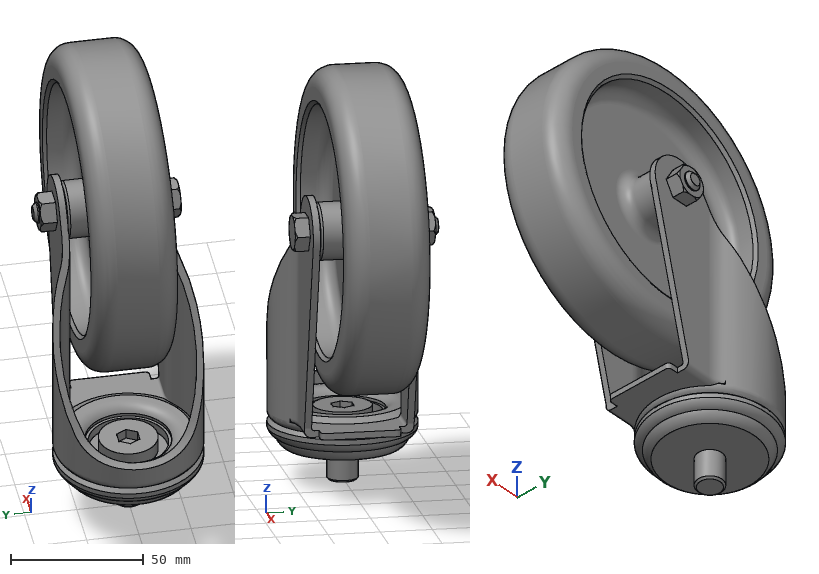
import cadquery as cq
import math

WHEEL_D = 125.0
WHEEL_OFFSET = 40.0
OVERALL_HEIGHT = 170.8
AXLE_Z = OVERALL_HEIGHT - WHEEL_D / 2
WHEEL_HALF_WIDTH = 16.0
TREAD_ROUND = 8.0
RIM_D = 96.0
RIM_CHAMFER = 1.4
DISC_HALF = 3.0
RIM_ROUND = 5.3
HUB_D = 22.0
HUB_ROUND = 4.6
HUB_HALF = 17.5
HUB_CHAMFER = 0.9
HUB_BOSS_D = 15.0

AXLE_D = 8.0
HEX_FLATS = 13.0
HEX_CORNERS = HEX_FLATS / math.cos(math.pi / 6)
HEX_CHAMFER = 0.9
HEAD_HEIGHT = 5.6
NUT_HEIGHT = 6.1
AXLE_TIP = 1.9
TIP_CHAMFER = 1.4

FORK_R = 57.0 / 2
SHEET = 2.7
PLATE_Y = 21.0
PLATE_START_X = 23.2
TAB_R = 13.7
FLOOR_BOTTOM = 26.5
FLOOR_TOP = 29.0
BEND_R = 2.5
FLOOR_ROUND = 1.2
PLATE_FOOT_X = 35.0
PLATE_FOOT_Z = 29.9
FRONT_RIM_Z = 34.0
MOUTH_ARC_X = -16.2
MOUTH_ARC_Z = 44.2
TAIL_END_X = 39.8
TAIL_HALF_WIDTH = 15.4
TAIL_CORNER_R = 1.7

CAP_BOTTOM = 13.3
CAP_BOTTOM_R = 22.2
CAP_STEP_Z = 17.5
CAP_STEP_R = 25.5
CAP_BAND_BOTTOM = 20.8
CAP_BAND_TOP = 22.9
CAP_BULGE = 0.5
GROOVE_Z = 24.5
GROOVE_R = 26.8
RACE_TOP = 27.7
RING_TOP = 30.7
RING_R = 49.0 / 2
RING_FOOT_R = 28.0
DISH_R = 21.4
DISH_BORE_R = 16.4
DISH_DEPTH = 2.7
DISH_BULGE = 0.7
LEDGE_R = 15.2
LEDGE_Z = 26.8
RECESS_BOTTOM = 23.2
KINGPIN_R = 11.3
KINGPIN_TOP = 29.0
SOCKET_FLATS = 8.0
SOCKET_DEPTH = 4.0
STEM_D = 12.0
STEM_CHAMFER = 0.9

PLATE_INNER_Y = PLATE_Y - SHEET


def revolve_about_axle(profile):
    """Revolve a closed (radius, Y) profile about the wheel axle."""
    solid = profile.close().revolve(360, (0, 0, 0), (0, 1, 0))
    return solid.translate((WHEEL_OFFSET, 0, AXLE_Z))


def axle_cylinder(diameter, y_start, y_end):
    """Cylinder on the wheel axle between two Y positions."""
    disc = cq.Workplane("XZ", origin=(WHEEL_OFFSET, y_start, AXLE_Z)).circle(diameter / 2)
    return disc.extrude(y_start - y_end)


def make_rim_recess():
    """Annular recess of the +Y wheel face, between rim and hub."""
    rim_r = RIM_D / 2
    hub_r = HUB_D / 2
    bend = math.sqrt(0.5)
    profile = (
        cq.Workplane("XY")
        .moveTo(hub_r, WHEEL_HALF_WIDTH)
        .lineTo(hub_r, DISC_HALF + HUB_ROUND)
        .threePointArc(
            (hub_r + HUB_ROUND * (1 - bend), DISC_HALF + HUB_ROUND * (1 - bend)),
            (hub_r + HUB_ROUND, DISC_HALF),
        )
        .lineTo(rim_r - RIM_ROUND, DISC_HALF)
        .threePointArc(
            (rim_r - RIM_ROUND * (1 - bend), DISC_HALF + RIM_ROUND * (1 - bend)),
            (rim_r, DISC_HALF + RIM_ROUND),
        )
        .lineTo(rim_r, WHEEL_HALF_WIDTH - RIM_CHAMFER)
        .lineTo(rim_r + RIM_CHAMFER, WHEEL_HALF_WIDTH)
    )
    return revolve_about_axle(profile)


def make_wheel():
    wheel = axle_cylinder(WHEEL_D, -WHEEL_HALF_WIDTH, WHEEL_HALF_WIDTH)
    wheel = wheel.edges("%CIRCLE").fillet(TREAD_ROUND)
    recess = make_rim_recess()
    wheel = wheel.cut(recess).cut(recess.mirror("XZ"))
    hub = axle_cylinder(HUB_D, -HUB_HALF, HUB_HALF).edges("%CIRCLE").chamfer(HUB_CHAMFER)
    boss = axle_cylinder(HUB_BOSS_D, -PLATE_INNER_Y, PLATE_INNER_Y)
    bore = axle_cylinder(AXLE_D, -PLATE_INNER_Y, PLATE_INNER_Y)
    return wheel.union(hub).union(boss).cut(bore)


def make_hex(y_start, y_end):
    """Hexagon on the axle, its corners chamfered at the outer end y_end."""
    hexagon = (
        cq.Workplane("XZ", origin=(WHEEL_OFFSET, y_start, AXLE_Z))
        .polygon(6, HEX_CORNERS)
        .extrude(y_start - y_end)
    )
    outer_end = ">Y" if y_end > y_start else "<Y"
    rounder = axle_cylinder(HEX_CORNERS, y_start, y_end).faces(outer_end).chamfer(HEX_CHAMFER)
    return hexagon.intersect(rounder)


def make_axle_bolt():
    nut_end = PLATE_Y + NUT_HEIGHT
    shank = axle_cylinder(AXLE_D, -PLATE_Y, nut_end + AXLE_TIP).faces(">Y").chamfer(TIP_CHAMFER)
    head = make_hex(-PLATE_Y, -PLATE_Y - HEAD_HEIGHT)
    nut = make_hex(PLATE_Y, nut_end)
    return shank.union(head).union(nut)


BEND_PLAN_R = (PLATE_START_X**2 + PLATE_Y**2 - FORK_R**2) / (2 * (FORK_R - PLATE_Y))
BEND_CENTER_Y = PLATE_Y + BEND_PLAN_R
BEND_ANGLE = math.atan2(BEND_CENTER_Y, PLATE_START_X)
BEND_START_X = FORK_R * math.cos(BEND_ANGLE)


def fork_plan(inset, end_x, z):
    """Plan outline of the fork: round front, reverse bends, flat side plates."""
    angle_mid = (BEND_ANGLE + math.pi / 2) / 2
    front_r = FORK_R - inset
    reverse_r = BEND_PLAN_R + inset
    plate_y = PLATE_Y - inset
    bend_x = front_r * math.cos(BEND_ANGLE)
    bend_y = front_r * math.sin(BEND_ANGLE)
    mid_x = PLATE_START_X - reverse_r * math.cos(angle_mid)
    mid_y = BEND_CENTER_Y - reverse_r * math.sin(angle_mid)
    return (
        cq.Workplane("XY", origin=(0, 0, z))
        .moveTo(end_x, -plate_y)
        .lineTo(PLATE_START_X, -plate_y)
        .threePointArc((mid_x, -mid_y), (bend_x, -bend_y))
        .threePointArc((-front_r, 0), (bend_x, bend_y))
        .threePointArc((mid_x, mid_y), (PLATE_START_X, plate_y))
        .lineTo(end_x, plate_y)
        .close()
    )


def tab_tangent(x, z, side):
    """Point where the line from (x, z) touches the tab circle; side is +1 front, -1 rear."""
    dx = x - WHEEL_OFFSET
    dz = z - AXLE_Z
    angle = math.atan2(dz, dx) - side * math.acos(TAB_R / math.hypot(dx, dz))
    return (WHEEL_OFFSET + TAB_R * math.cos(angle), AXLE_Z + TAB_R * math.sin(angle))


def make_side_profile():
    """Side outline of the fork, as a block across the whole width."""
    mouth = (MOUTH_ARC_X, MOUTH_ARC_Z)
    front_touch = tab_tangent(*mouth, side=1)
    rear_touch = tab_tangent(PLATE_FOOT_X, PLATE_FOOT_Z, side=-1)
    return (
        cq.Workplane("XZ")
        .moveTo(PLATE_FOOT_X, FLOOR_BOTTOM)
        .lineTo(PLATE_FOOT_X, PLATE_FOOT_Z)
        .lineTo(*rear_touch)
        .threePointArc((WHEEL_OFFSET, AXLE_Z + TAB_R), front_touch)
        .lineTo(*mouth)
        .tangentArcPoint((-FORK_R, FRONT_RIM_Z), relative=False)
        .lineTo(-FORK_R, FLOOR_BOTTOM)
        .close()
        .extrude(FORK_R, both=True)
    )


def make_shell():
    """Bent sheet: floor, round front wall and two side plates with the axle holes."""
    end_x = WHEEL_OFFSET + TAB_R
    height = AXLE_Z + TAB_R - FLOOR_BOTTOM
    blank = fork_plan(0, end_x, FLOOR_BOTTOM).extrude(height)
    rear_length = end_x - BEND_START_X
    rear_space = (
        cq.Workplane("XY")
        .box(rear_length, 2 * FORK_R, height, centered=(False, True, False))
        .translate((BEND_START_X, 0, FLOOR_BOTTOM))
    )
    rear = blank.faces("<Z").edges("not(>X)").fillet(BEND_R).intersect(rear_space)
    under_front = cq.Workplane("XY", origin=(0, 0, FLOOR_BOTTOM)).circle(2 * FORK_R)
    front = blank.cut(rear_space).cut(under_front.extrude(RACE_TOP - FLOOR_BOTTOM))
    shell = rear.union(front)
    room = fork_plan(SHEET, end_x, FLOOR_TOP).extrude(height)
    room = room.faces("<Z").edges("not(>X)").fillet(FLOOR_ROUND)
    shell = shell.cut(room).intersect(make_side_profile())
    return shell.cut(axle_cylinder(AXLE_D, -PLATE_Y, PLATE_Y))


def make_tail():
    """Floor tongue that runs out between the side plates."""
    size_x = TAIL_END_X - PLATE_START_X
    tail = cq.Workplane("XY").box(
        size_x, 2 * TAIL_HALF_WIDTH, FLOOR_TOP - FLOOR_BOTTOM, centered=(False, True, False)
    )
    tail = tail.edges("|Z and >X").fillet(TAIL_CORNER_R)
    return tail.translate((PLATE_START_X, 0, FLOOR_BOTTOM))


def bulge_point(start, end, bulge):
    """Middle of a shallow arc that bows to the right of the chord from start to end."""
    dx = end[0] - start[0]
    dz = end[1] - start[1]
    length = math.hypot(dx, dz)
    mid_x = (start[0] + end[0]) / 2 + bulge * dz / length
    mid_z = (start[1] + end[1]) / 2 - bulge * dx / length
    return (mid_x, mid_z)


def revolve_about_swivel(profile):
    """Revolve a closed (radius, Z) profile about the swivel axis."""
    return profile.close().revolve(360, (0, 0, 0), (0, 1, 0))


def make_swivel_cap():
    """Lower bearing cap, groove and upper race."""
    bottom = (CAP_BOTTOM_R, CAP_BOTTOM)
    step = (CAP_STEP_R, CAP_STEP_Z)
    band = (FORK_R, CAP_BAND_BOTTOM)
    groove = (GROOVE_R, GROOVE_Z)
    race = (FORK_R, RACE_TOP)
    return revolve_about_swivel(
        cq.Workplane("XZ")
        .moveTo(0, CAP_BOTTOM)
        .lineTo(*bottom)
        .threePointArc(bulge_point(bottom, step, CAP_BULGE), step)
        .threePointArc(bulge_point(step, band, CAP_BULGE), band)
        .lineTo(FORK_R, CAP_BAND_TOP)
        .lineTo(*groove)
        .threePointArc(bulge_point(groove, race, CAP_BULGE), race)
        .lineTo(0, RACE_TOP)
    )


def make_bearing_ring():
    """Ring raised above the fork floor, with a sloping outer flank."""
    return revolve_about_swivel(
        cq.Workplane("XZ")
        .moveTo(0, FLOOR_TOP)
        .lineTo(RING_FOOT_R, FLOOR_TOP)
        .lineTo(RING_R, RING_TOP)
        .lineTo(0, RING_TOP)
    )


def make_dish():
    """Dished annular recess around the kingpin head."""
    rim = (DISH_R, RING_TOP)
    lip = (DISH_BORE_R, RING_TOP - DISH_DEPTH)
    return revolve_about_swivel(
        cq.Workplane("XZ")
        .moveTo(KINGPIN_R, RING_TOP)
        .lineTo(*rim)
        .threePointArc(bulge_point(rim, lip, DISH_BULGE), lip)
        .lineTo(DISH_BORE_R, LEDGE_Z)
        .lineTo(LEDGE_R, LEDGE_Z)
        .lineTo(LEDGE_R, RECESS_BOTTOM)
        .lineTo(KINGPIN_R, RECESS_BOTTOM)
    )


def make_kingpin_cut():
    """Clearance above the kingpin head and the hexagon socket in it."""
    clearance = (
        cq.Workplane("XY", origin=(0, 0, KINGPIN_TOP))
        .circle(KINGPIN_R)
        .extrude(RING_TOP - KINGPIN_TOP)
    )
    socket = (
        cq.Workplane("XY", origin=(0, 0, KINGPIN_TOP - SOCKET_DEPTH))
        .polygon(6, SOCKET_FLATS / math.cos(math.pi / 6))
        .extrude(SOCKET_DEPTH)
    )
    return clearance.union(socket)


def make_stem():
    stem = cq.Workplane("XY").circle(STEM_D / 2).extrude(CAP_BOTTOM)
    return stem.faces("<Z").chamfer(STEM_CHAMFER)


def make_fork():
    fork = make_shell().union(make_tail()).union(make_swivel_cap())
    fork = fork.union(make_bearing_ring()).union(make_stem())
    return fork.cut(make_dish()).cut(make_kingpin_cut()).clean()


wheel = make_wheel()
axle_bolt = make_axle_bolt()
fork = make_fork()
result = cq.Compound.makeCompound([fork.val(), wheel.val(), axle_bolt.val()])